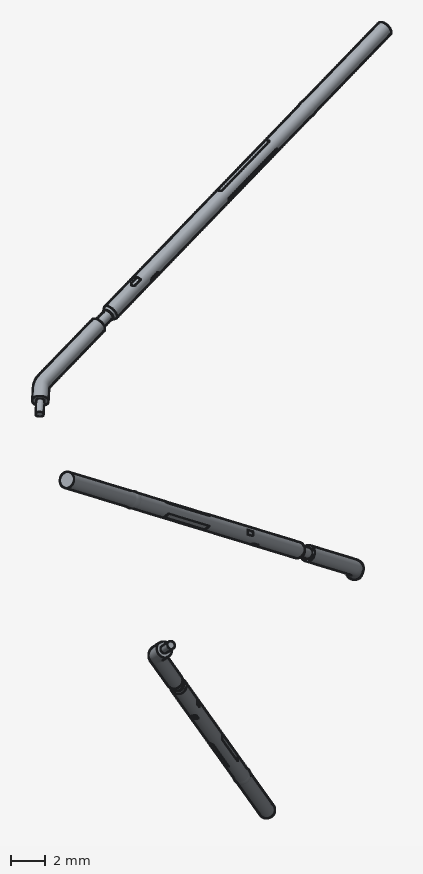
import cadquery as cq
import math


BARREL_RADIUS = 0.48
BARREL_LENGTH = 26.1
END_TAPER_LENGTH = 0.2
END_TAPER_DEPTH = 0.1

RING_RADIUS = 0.5
RING_START = 7.05
RING_LENGTH = 0.55

FLAT_COUNT = 3
FLAT_START = 10.8
FLAT_LENGTH = 4.57
FLAT_DEPTH = 0.05

DENT_COUNT = 4
DENT_START = 19.5
DENT_PITCH = 1.25
DENT_LENGTH = 0.65
DENT_WIDTH = 0.27
DENT_DEPTH = 0.04
DENT_FIRST_ANGLE = 180

NECK_RADIUS = 0.325
PLUNGER_RADIUS = 0.48
PLUNGER_START = 27.05
BEND_START = 32.13
BEND_RADIUS = 1.0
BEND_ANGLE = 35
HEAD_LENGTH = 0.9
TIP_RADIUS = 0.25
OVERALL_LENGTH = 34.35


def cross_section(distance):
    """Workplane across the probe axis, facing the plunger, at a distance from the rear face."""
    plane = cq.Plane(origin=(0, -distance, 0), xDir=(1, 0, 0), normal=(0, -1, 0))
    return cq.Workplane(plane)


def rod(radius, start, end):
    """Cylinder on the probe axis between two distances from the rear face."""
    return cross_section(start).circle(radius).extrude(end - start)


def around_axis(shape, angle):
    """Turn a shape from the +X side to the given angle, measured from +X towards +Z."""
    return shape.rotate((0, 0, 0), (0, -1, 0), angle)


def end_taper():
    """Cone that closes the barrel down towards the plunger neck."""
    return (
        cross_section(BARREL_LENGTH - END_TAPER_LENGTH)
        .circle(BARREL_RADIUS)
        .workplane(offset=END_TAPER_LENGTH)
        .circle(BARREL_RADIUS - END_TAPER_DEPTH)
        .loft()
    )


def press_ring():
    middle = RING_START + RING_LENGTH / 2
    end = RING_START + RING_LENGTH
    profile = (
        cq.Workplane("XY")
        .moveTo(0, -RING_START)
        .lineTo(BARREL_RADIUS, -RING_START)
        .threePointArc((RING_RADIUS, -middle), (BARREL_RADIUS, -end))
        .lineTo(0, -end)
        .close()
    )
    return profile.revolve(360, (0, 0, 0), (0, 1, 0))


def crimp_flat():
    floor = BARREL_RADIUS - FLAT_DEPTH
    cutter = cq.Workplane("XY").box(
        BARREL_RADIUS, FLAT_LENGTH, 2 * BARREL_RADIUS, centered=(False, False, True)
    )
    return cutter.translate((floor, -FLAT_START - FLAT_LENGTH, 0))


def dent(start):
    """Flat-bottomed D: square at the rear, rounded towards the plunger."""
    half_width = DENT_WIDTH / 2
    straight_end = start + DENT_LENGTH - half_width
    floor = cq.Plane(origin=(BARREL_RADIUS - DENT_DEPTH, 0, 0), xDir=(0, -1, 0), normal=(1, 0, 0))
    return (
        cq.Workplane(floor)
        .moveTo(start, half_width)
        .lineTo(straight_end, half_width)
        .threePointArc((start + DENT_LENGTH, 0), (straight_end, -half_width))
        .lineTo(start, -half_width)
        .close()
        .extrude(BARREL_RADIUS)
    )


def barrel():
    body = rod(BARREL_RADIUS, 0, BARREL_LENGTH - END_TAPER_LENGTH)
    body = body.union(end_taper()).union(press_ring())
    for index in range(FLAT_COUNT):
        body = body.cut(around_axis(crimp_flat(), index * 360 / FLAT_COUNT))
    for index in range(DENT_COUNT):
        angle = DENT_FIRST_ANGLE + index * 360 / DENT_COUNT
        body = body.cut(around_axis(dent(DENT_START + index * DENT_PITCH), angle))
    return body


def plunger():
    neck = rod(NECK_RADIUS, BARREL_LENGTH, PLUNGER_START)
    shaft = rod(PLUNGER_RADIUS, PLUNGER_START, BEND_START)
    bend = (
        cross_section(BEND_START)
        .circle(PLUNGER_RADIUS)
        .revolve(BEND_ANGLE, (BEND_RADIUS, 0, 0), (BEND_RADIUS, 1, 0))
    )

    turn = math.radians(BEND_ANGLE)
    bend_end_x = BEND_RADIUS * (1 - math.cos(turn))
    bend_end = BEND_START + BEND_RADIUS * math.sin(turn)
    reach = (OVERALL_LENGTH - bend_end - TIP_RADIUS * math.sin(turn)) / math.cos(turn)
    head_plane = cq.Plane(
        origin=(bend_end_x, -bend_end, 0),
        xDir=(0, 0, 1),
        normal=(math.sin(turn), -math.cos(turn), 0),
    )
    head = cq.Workplane(head_plane).circle(PLUNGER_RADIUS).extrude(HEAD_LENGTH)
    tip = cq.Workplane(head_plane).circle(TIP_RADIUS).extrude(reach)
    return neck.union(shaft).union(bend).union(head).union(tip)


result = barrel().union(plunger())